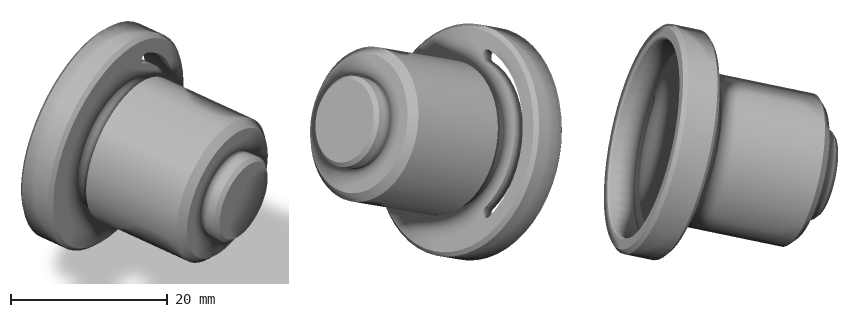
import cadquery as cq
import math

flange_radius = 15
flange_thickness = 5.0
edge_chamfer = 0.5

neck_radius = 9
neck_length = 1.98

body_radius = 10.0
body_length = 15
body_chamfer = 1.0

tip_radius = 5.88
tip_length = 2.52

recess_radius = 13.0
recess_depth = 3.5
recess_chamfer = 0.2

slot_center_radius = 11.75
slot_width = 1.5
slot_half_angle = 60


def disk(start, radius, length):
    """Cylinder along +X, starting at the given X."""
    return cq.Workplane("YZ", origin=(start, 0, 0)).circle(radius).extrude(length)


def polar_point(radius, degrees):
    """Point in the YZ plane, with the angle measured from +Y toward +Z."""
    angle = math.radians(degrees)
    return radius * math.cos(angle), radius * math.sin(angle)


def arc_slot_cutter():
    """Round-ended arc slot, centered on +Y and passing through the flange."""
    inner_radius = slot_center_radius - slot_width / 2
    outer_radius = slot_center_radius + slot_width / 2
    cap_angle = math.degrees(slot_width / 2 / slot_center_radius)
    end_angle = slot_half_angle + cap_angle
    return (
        cq.Workplane("YZ")
        .moveTo(*polar_point(outer_radius, -slot_half_angle))
        .threePointArc((outer_radius, 0), polar_point(outer_radius, slot_half_angle))
        .threePointArc(
            polar_point(slot_center_radius, end_angle),
            polar_point(inner_radius, slot_half_angle),
        )
        .threePointArc((inner_radius, 0), polar_point(inner_radius, -slot_half_angle))
        .threePointArc(
            polar_point(slot_center_radius, -end_angle),
            polar_point(outer_radius, -slot_half_angle),
        )
        .close()
        .extrude(flange_thickness)
    )


body_start = flange_thickness + neck_length
tip_start = body_start + body_length
flange = disk(0, flange_radius, flange_thickness).edges().chamfer(edge_chamfer)
neck = disk(flange_thickness, neck_radius, neck_length)
body = disk(body_start, body_radius, body_length).faces(">X").chamfer(body_chamfer)
tip = disk(tip_start, tip_radius, tip_length).faces(">X").chamfer(edge_chamfer)
stepped_solid = flange.union(neck).union(body).union(tip)

mouth_radius = recess_radius + recess_chamfer
recess_mouth = cq.Workplane(
    cq.Solid.makeCone(
        mouth_radius, recess_radius, recess_chamfer, cq.Vector(0, 0, 0), cq.Vector(1, 0, 0)
    )
)
recess = disk(0, recess_radius, recess_depth)

result = stepped_solid.cut(recess).cut(recess_mouth).cut(arc_slot_cutter())